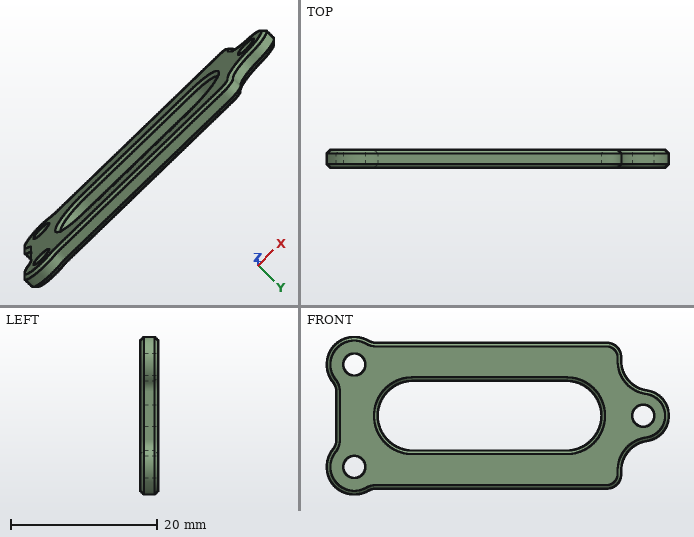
import cadquery as cq

length = 46.8
height = 21.55
thickness = 2.5
edge_chamfer = 0.5

left_ear_radius = 3.8
right_ear_radius = 3.5
hole_radius = 1.5
left_ear_x = -length / 2 + left_ear_radius
right_ear_x = length / 2 - right_ear_radius
left_ear_z = height / 2 - left_ear_radius
left_ear_centers = [(left_ear_x, left_ear_z), (left_ear_x, -left_ear_z)]
right_ear_centers = [(right_ear_x, 0)]

body_left = -length / 2 + 1.3
body_right = -length / 2 + 40.3
body_height = 19.98

left_blend_radius = 2.0
right_blend_radius = 4.0
corner_radius = 2.0

window_length = 30.55
window_height = 9.5
window_center_x = -1.1


def block(x_start, x_end, block_height):
    """Plate-thick rectangle between two X positions, symmetric about Z = 0."""
    return cq.Workplane("XY").box(x_end - x_start, thickness, block_height).translate(
        ((x_start + x_end) / 2, 0, 0)
    )


def discs(centers, radius):
    """Plate-thick discs on the given (X, Z) centres."""
    return cq.Workplane("XZ").pushPoints(centers).circle(radius).extrude(thickness / 2, both=True)


def within(x_start, x_end, z_limit):
    """Selector for edges between two X positions and within z_limit of Z = 0."""
    return cq.selectors.BoxSelector((x_start, -thickness, -z_limit), (x_end, thickness, z_limit))


left_strip = block(body_left, left_ear_x, 2 * left_ear_z)
body = block(left_ear_x, body_right, body_height).edges("|Y and >X").fillet(corner_radius)
plate = body.union(left_strip)
plate = plate.union(discs(left_ear_centers, left_ear_radius))
plate = plate.union(discs(right_ear_centers, right_ear_radius))

search_margin = 0.45
left_notches = within(body_left - search_margin, body_left + search_margin, left_ear_z)
side_notches = within(left_ear_x + search_margin, 0, height)
right_notches = within(body_right - search_margin, right_ear_x, right_ear_radius)
plate = plate.edges("|Y").edges(left_notches).fillet(left_blend_radius)
plate = plate.edges("|Y").edges(side_notches).fillet(left_blend_radius)
plate = plate.edges("|Y").edges(right_notches).fillet(right_blend_radius)

window = (
    cq.Workplane("XZ")
    .center(window_center_x, 0)
    .slot2D(window_length, window_height)
    .extrude(thickness / 2, both=True)
)
plate = plate.cut(window)
plate = plate.faces("<Y or >Y").edges().chamfer(edge_chamfer)

result = plate.cut(discs(left_ear_centers + right_ear_centers, hole_radius))